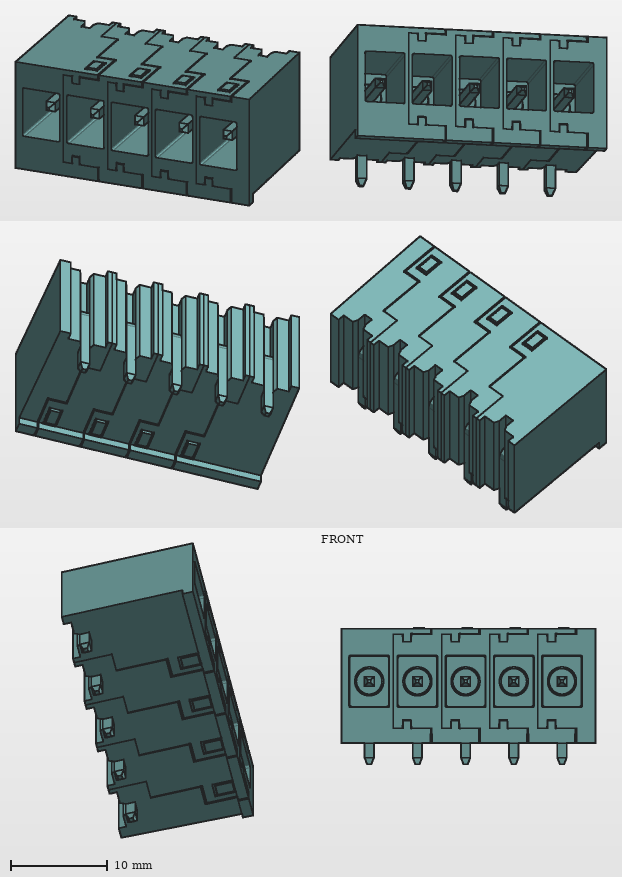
import cadquery as cq

MODULE_COUNT = 5
PITCH = 5.0
DEPTH = 14.02
HEIGHT = 10.96
MID_HEIGHT = HEIGHT / 2

FIRST_EXTRA = 0.4
LAST_EXTRA_FRONT = 1.0
LAST_EXTRA_REAR = 0.66

FOOT_DEPTH = 1.12
FOOT_DROP = 0.93

FLAP_THICKNESS = 0.6
FLAP_REACH = 3.87
FLAP_NECK = 1.87
FLAP_STEP = 4.48
FLAP_END = 9.97
REACH_GAP = 0.14
STEP_GAP = 0.17
NECK_GAP = 0.08
HOOK_START = 1.03
HOOK_END = 1.80
HOOK_DEPTH = 1.38
HOOK_ROOT_GAP = 0.1
HOOK_TIP_GAP = 0.03
UPPER_FLAP_GAP = 0.08
LOWER_HOOK_GAP = 0.1

PAD_WIDTH = 1.05
PAD_LENGTH = 1.83
PAD_RISE = 0.09
PAD_RECESS_WIDTH = 1.4
PAD_RECESS_LENGTH = 2.36
PAD_RECESS_DEPTH = 0.3
PAD_CENTER_X = 2.67
PAD_CENTER_Y = 2.25

SOCKET_WIDTH = 4.2
SOCKET_HEIGHT = 5.4
SOCKET_DEPTH = 9.0
SOCKET_DRAFT = 0.08
SOCKET_CORNER = 0.2
COLLAR_BASE_DIAMETER = 3.0
COLLAR_TOP_DIAMETER = 2.65
COLLAR_HEIGHT = 0.5

REAR_HALF_WIDTH = 2.02
REAR_DEPTH = 0.79
FUNNEL_HALF_WIDTH = 0.75
FUNNEL_DEPTH = 1.36

PIN_SIZE = 1.0
MATING_TIP_SIZE = 0.3
MATING_TIP_LENGTH = 0.7
SOLDER_TIP_SIZE = 0.45
SOLDER_TIP_LENGTH = 0.7
PIN_DROP = 3.13
PIN_FRONT = 1.84
PIN_BEND_RADIUS = 1.0
LEG_REAR = DEPTH - FUNNEL_DEPTH
LEG_FRONT = LEG_REAR - PIN_SIZE
LEG_CENTER = LEG_REAR - PIN_SIZE / 2


def box(x0, x1, y0, y1, z0, z1):
    return cq.Workplane("XY").box(x1 - x0, y1 - y0, z1 - z0, centered=False).translate((x0, y0, z0))


def prism_up(points, z0, z1):
    """Plan outline extruded along Z."""
    return cq.Workplane("XY").workplane(offset=z0).polyline(points).close().extrude(z1 - z0)


def rail(points):
    """X-Z outline extruded along Y over the length of a flap."""
    return cq.Workplane("XZ").polyline(points).close().extrude(-FLAP_END)


def flap_plan(reach, step, neck):
    return [
        (0, 0),
        (reach, 0),
        (reach, step),
        (neck, step),
        (neck, FLAP_END),
        (0, FLAP_END),
    ]


def hook_section(root_gap, tip_gap, tip_depth, free_depth):
    """Section of flap plus hook, widened by side gaps; depths run inward from the outer face."""
    return [
        (0, 0),
        (FLAP_REACH + REACH_GAP, 0),
        (FLAP_REACH + REACH_GAP, free_depth),
        (HOOK_END + root_gap, free_depth),
        (HOOK_END + tip_gap, tip_depth),
        (HOOK_START - tip_gap, tip_depth),
        (HOOK_START - root_gap, FLAP_THICKNESS),
        (0, FLAP_THICKNESS),
    ]


def interlock(plan, upper_section, lower_section):
    """Upper and lower flaps with their hooks and the foot strip, joint at X = 0."""
    upper_points = [(x, HEIGHT - depth) for x, depth in upper_section]
    upper = rail(upper_points).intersect(prism_up(plan, 0, HEIGHT))
    lower = rail(lower_section).intersect(prism_up(plan, 0, HEIGHT))
    reach = plan[1][0]
    foot = box(0, reach, 0, FOOT_DEPTH, -FOOT_DROP, FLAP_THICKNESS)
    return upper, lower.union(foot)


def pad_block(width, length, top):
    """Block on the pad centre, from the floor of the pad recess up to the given height."""
    return (
        cq.Workplane("XY", origin=(PAD_CENTER_X, PAD_CENTER_Y, HEIGHT - PAD_RECESS_DEPTH))
        .rect(width, length)
        .extrude(top - HEIGHT + PAD_RECESS_DEPTH)
    )


def flaps():
    plan = flap_plan(FLAP_REACH, FLAP_STEP, FLAP_NECK)
    upper_section = hook_section(0, 0, HOOK_DEPTH, FLAP_THICKNESS - UPPER_FLAP_GAP)
    lower_section = hook_section(0, 0, HOOK_DEPTH, FLAP_THICKNESS)
    upper, lower = interlock(plan, upper_section, lower_section)
    pad_recess = pad_block(PAD_RECESS_WIDTH, PAD_RECESS_LENGTH, HEIGHT)
    pad = pad_block(PAD_WIDTH, PAD_LENGTH, HEIGHT + PAD_RISE)
    upper = upper.cut(pad_recess).union(pad)
    mid_plane = (0, 0, MID_HEIGHT)
    lower = lower.cut(pad_recess.mirror("XY", mid_plane)).union(pad.mirror("XY", mid_plane))
    return upper, lower


def flap_recesses():
    plan = flap_plan(FLAP_REACH + REACH_GAP, FLAP_STEP + STEP_GAP, FLAP_NECK + NECK_GAP)
    upper_section = hook_section(HOOK_ROOT_GAP, HOOK_TIP_GAP, HOOK_DEPTH, FLAP_THICKNESS)
    lower_section = hook_section(HOOK_ROOT_GAP, HOOK_TIP_GAP, HOOK_DEPTH + LOWER_HOOK_GAP, FLAP_THICKNESS)
    return interlock(plan, upper_section, lower_section)


def socket(center_x):
    """Drafted rectangular pocket with a conical collar on its floor around the contact."""
    mouth = cq.Sketch().rect(SOCKET_WIDTH, SOCKET_HEIGHT).vertices().fillet(SOCKET_CORNER)
    floor = (
        cq.Sketch()
        .rect(SOCKET_WIDTH - 2 * SOCKET_DRAFT, SOCKET_HEIGHT - 2 * SOCKET_DRAFT)
        .vertices()
        .fillet(SOCKET_CORNER)
        .moved(cq.Location(cq.Vector(0, 0, -SOCKET_DEPTH)))
    )
    pocket = (
        cq.Workplane("XZ", origin=(center_x, 0, MID_HEIGHT))
        .placeSketch(mouth, floor)
        .loft()
    )
    collar = (
        cq.Workplane("XZ", origin=(center_x, SOCKET_DEPTH, MID_HEIGHT))
        .circle(COLLAR_BASE_DIAMETER / 2)
        .workplane(offset=COLLAR_HEIGHT)
        .circle(COLLAR_TOP_DIAMETER / 2)
        .loft()
    )
    return pocket.cut(collar)


def rear_opening(center_x):
    """Stepped opening in the rear wall, narrowing to the slot that holds the solder leg of the pin."""
    right_side = [
        (REAR_HALF_WIDTH, DEPTH),
        (REAR_HALF_WIDTH, DEPTH - REAR_DEPTH),
        (FUNNEL_HALF_WIDTH, DEPTH - REAR_DEPTH),
        (PIN_SIZE / 2, DEPTH - FUNNEL_DEPTH),
        (PIN_SIZE / 2, LEG_FRONT),
    ]
    left_side = [(-x, y) for x, y in reversed(right_side)]
    return prism_up(right_side + left_side, 0, HEIGHT).translate((center_x, 0, 0))


def pin_passage(center_x):
    half = PIN_SIZE / 2
    return box(center_x - half, center_x + half, 0, LEG_FRONT, MID_HEIGHT - half, MID_HEIGHT + half)


def module_housing(index):
    """One housing module; its left joint face stands at X = index * PITCH."""
    is_first = index == 0
    is_last = index == MODULE_COUNT - 1
    left = -FIRST_EXTRA if is_first else 0
    right_front = PITCH + (LAST_EXTRA_FRONT if is_last else 0)
    right_rear = PITCH + (LAST_EXTRA_REAR if is_last else 0)
    outline = [(left, 0), (right_front, 0), (right_rear, DEPTH), (left, DEPTH)]
    body = prism_up(outline, 0, HEIGHT)
    foot_zone = box(left, right_front, 0, FOOT_DEPTH, -FOOT_DROP, 0)
    body = body.union(prism_up(outline, -FOOT_DROP, 0).intersect(foot_zone))
    if not is_first:
        for recess in flap_recesses():
            body = body.cut(recess)
    if not is_last:
        for flap in flaps():
            body = body.union(flap.translate((PITCH, 0, 0)))
    center_x = PITCH / 2
    for opening in (socket(center_x), rear_opening(center_x), pin_passage(center_x)):
        body = body.cut(opening)
    return body.translate((index * PITCH, 0, 0))


def pin(index):
    """Right-angle contact: a mating bar along Y and a solder leg down Z, both with pyramid tips."""
    half = PIN_SIZE / 2
    bar_start = PIN_FRONT + MATING_TIP_LENGTH
    leg_end = SOLDER_TIP_LENGTH - PIN_DROP
    bar = box(-half, half, bar_start, LEG_REAR, MID_HEIGHT - half, MID_HEIGHT + half)
    leg = box(-half, half, LEG_FRONT, LEG_REAR, leg_end, MID_HEIGHT + half)
    angle = bar.union(leg).edges("|X and >Y and >Z").fillet(PIN_BEND_RADIUS)
    mating_tip = (
        cq.Workplane("XZ", origin=(0, bar_start, MID_HEIGHT))
        .rect(PIN_SIZE, PIN_SIZE)
        .workplane(offset=MATING_TIP_LENGTH)
        .rect(MATING_TIP_SIZE, MATING_TIP_SIZE)
        .loft()
    )
    solder_tip = (
        cq.Workplane("XY", origin=(0, LEG_CENTER, leg_end))
        .rect(PIN_SIZE, PIN_SIZE)
        .workplane(offset=-SOLDER_TIP_LENGTH)
        .rect(SOLDER_TIP_SIZE, SOLDER_TIP_SIZE)
        .loft()
    )
    return angle.union(mating_tip).union(solder_tip).translate(((index + 0.5) * PITCH, 0, 0))


housings = [module_housing(index) for index in range(MODULE_COUNT)]
pins = [pin(index) for index in range(MODULE_COUNT)]
result = cq.Compound.makeCompound([body.val() for body in housings + pins])